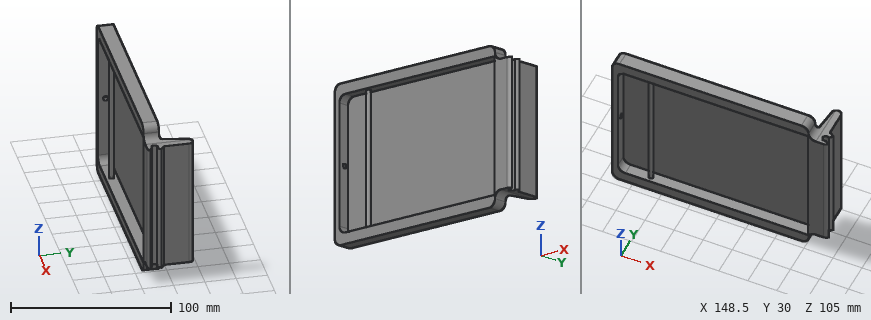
import cadquery as cq
import math

length = 148.5
total_depth = 30.0
plate_height = 105.0
plate_length = 135.2
plate_thickness = 10.0

tongue_height = 85.0
corner_radius = (plate_height - tongue_height) / 4
flange_back_x = 145.0
flange_base_x = 137.1
flange_tip_width = 6.2
flange_tip_radius = flange_tip_width / 2
flange_root_radius = 2.0

socket_radius = 2.0
socket_x = 144.7
socket_y = plate_thickness / 2
socket_back_angle = 40
socket_front_angle = -70
back_prong_tip = (148.3, 8.5)
back_prong_root = (flange_back_x, 11.0)
front_prong_start = 144.8
front_prong_tip = (length, 1.3)
front_prong_bulge = (147.2, 0.5)

pocket_left = 4.0
pocket_right = 134.9
pocket_height = 90.0
floor_thickness = 2.0
pocket_depth = plate_thickness - floor_thickness
rod_diameter = 3.0
rod_x = 25.0
rod_y = pocket_depth / 2

hole_diameter = 3.0


def socket_point(angle):
    """Point on the socket circle at an angle in degrees from +X."""
    radians = math.radians(angle)
    return (
        socket_x + socket_radius * math.cos(radians),
        socket_y + socket_radius * math.sin(radians),
    )


def block(left, right, height, depth):
    """Block from the front face backwards, centred on Z = 0."""
    corner = cq.Workplane("XY", origin=(left, 0, 0))
    return corner.box(right - left, depth, height, centered=(False, False, True))


def make_face_outline():
    """Rounded plate blending into the narrower tongue, extruded over the full depth."""
    half_plate = plate_height / 2
    half_tongue = tongue_height / 2
    blend_z = half_plate - corner_radius
    left_center_x = corner_radius
    right_center_x = plate_length - corner_radius
    blend_center_x = plate_length + corner_radius
    diagonal = corner_radius * math.sqrt(0.5)
    upper_half = (
        cq.Workplane("XZ")
        .moveTo(0, 0)
        .lineTo(0, blend_z)
        .threePointArc((left_center_x - diagonal, blend_z + diagonal), (left_center_x, half_plate))
        .lineTo(right_center_x, half_plate)
        .threePointArc((right_center_x + diagonal, blend_z + diagonal), (plate_length, blend_z))
        .threePointArc((blend_center_x - diagonal, blend_z - diagonal), (blend_center_x, half_tongue))
        .lineTo(length, half_tongue)
        .lineTo(length, 0)
    )
    return upper_half.mirrorX().extrude(-total_depth)


def make_side_profile():
    """Plate, flange and hinge prongs in the XY plane, extruded along Z."""
    tip_y = total_depth - flange_tip_radius
    tip_left = flange_back_x - flange_tip_width
    profile = (
        cq.Workplane("XY")
        .moveTo(0, 0)
        .lineTo(front_prong_start, 0)
        .threePointArc(front_prong_bulge, front_prong_tip)
        .lineTo(*socket_point(socket_front_angle))
        .threePointArc(socket_point(180), socket_point(socket_back_angle))
        .lineTo(*back_prong_tip)
        .lineTo(*back_prong_root)
        .lineTo(flange_back_x, tip_y)
        .threePointArc((flange_back_x - flange_tip_radius, total_depth), (tip_left, tip_y))
        .lineTo(flange_base_x, plate_thickness)
        .lineTo(0, plate_thickness)
        .close()
        .extrude(plate_height / 2, both=True)
    )
    root_edge = cq.selectors.NearestToPointSelector((flange_base_x, plate_thickness, 0))
    return profile.edges("|Z").edges(root_edge).fillet(flange_root_radius)


def make_pocket():
    """Front pocket with rounded left corners and square right corners."""
    pocket = block(pocket_left, pocket_right, pocket_height, pocket_depth)
    return pocket.edges("|Y and <X").fillet(corner_radius)


def make_rod():
    """Round rod spanning the pocket from bottom wall to top wall."""
    bottom = cq.Workplane("XY", origin=(rod_x, rod_y, -pocket_height / 2))
    return bottom.circle(rod_diameter / 2).extrude(pocket_height)


def make_wall_hole():
    """Hole through the left wall into the pocket, at mid thickness."""
    return cq.Workplane("YZ").center(plate_thickness / 2, 0).circle(hole_diameter / 2).extrude(pocket_left)


body = make_face_outline().intersect(make_side_profile())
result = body.cut(make_pocket()).cut(make_wall_hole()).union(make_rod())